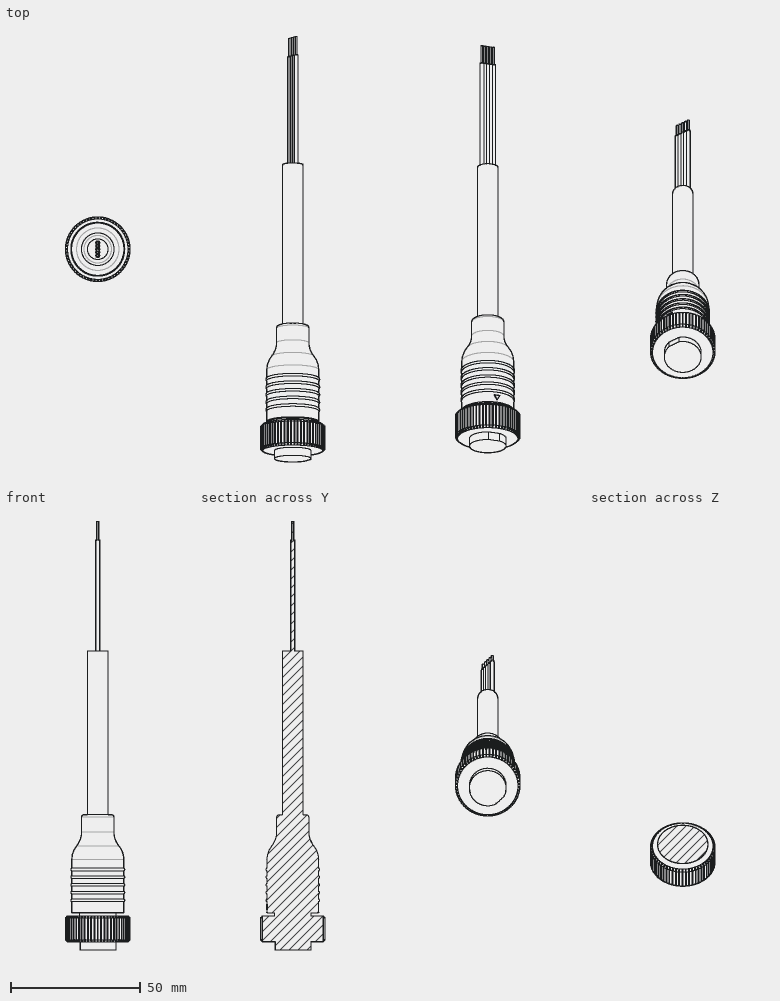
import cadquery as cq
import math

total_height = 165.8

nose_radius = 7.1
nose_flat_width = 4.5

ring_diameter = 25.0
ring_radius = ring_diameter / 2
ring_bottom = 3.2
ring_top = 13.3
ring_chamfer = 0.8
knurl_count = 60
knurl_width = 0.3
knurl_depth = 0.7

body_radius = 10.1
body_bottom = 14.3
body_chamfer = 0.3
shoulder_bottom = 35.0
shoulder_top = 45.6
collar_radius = 6.3
collar_top = 52.4
collar_fillet = 1.0

rib_count = 5
rib_pitch = 3.0
rib_width = 1.0
rib_height = 0.3
first_rib_bottom = 18.7

mark_width = 2.3
mark_height = 2.0
mark_top = 17.5
mark_depth = 0.3

cable_radius = 4.0
cable_top = 115.7
wire_count = 5
wire_pitch = 1.23
wire_diameter = 1.56
insulation_top = 158.5
core_diameter = 0.8


def cylinder(radius, bottom, top, y=0):
    """Vertical cylinder centred on X = 0 between two heights."""
    return cq.Workplane("XY", origin=(0, y, bottom)).circle(radius).extrude(top - bottom)


def make_nose():
    """Plug core up to the grip, with a flat on the -X side below the ring."""
    nose = cylinder(nose_radius, 0, body_bottom)
    flat_distance = math.sqrt(nose_radius**2 - (nose_flat_width / 2) ** 2)
    flat_cutter = cq.Workplane("XY").box(
        nose_radius, 2 * nose_radius, ring_bottom, centered=(False, True, False)
    )
    return nose.cut(flat_cutter.translate((-flat_distance - nose_radius, 0, 0)))


def make_ring():
    """Chamfered ring with narrow grooves running along its whole height."""
    ring_height = ring_top - ring_bottom
    ring = cylinder(ring_radius, ring_bottom, ring_top)
    ring = ring.faces("<Z or >Z").chamfer(ring_chamfer)
    knurls = (
        cq.Workplane("XY", origin=(0, 0, ring_bottom))
        .polarArray(ring_radius, 0, 360, knurl_count)
        .rect(2 * knurl_depth, knurl_width)
        .extrude(ring_height)
    )
    return ring.cut(knurls)


def make_grip():
    """Revolved grip whose shoulder is two equal arcs meeting halfway."""
    rise = (shoulder_top - shoulder_bottom) / 2
    step = (body_radius - collar_radius) / 2
    middle = (collar_radius + step, shoulder_bottom + rise)
    grip = (
        cq.Workplane("XZ")
        .moveTo(0, body_bottom)
        .lineTo(body_radius - body_chamfer, body_bottom)
        .lineTo(body_radius, body_bottom + body_chamfer)
        .lineTo(body_radius, shoulder_bottom)
        .tangentArcPoint(middle, relative=False)
        .tangentArcPoint((collar_radius, shoulder_top), relative=False)
        .lineTo(collar_radius, collar_top)
        .lineTo(0, collar_top)
        .close()
        .revolve(360, (0, 0, 0), (0, 1, 0))
    )
    return grip.faces(">Z").edges().fillet(collar_fillet)


def make_grip_ribs():
    """Evenly spaced bead rings around the body, each with a rounded outline."""
    rib = (
        cq.Workplane("XZ")
        .moveTo(body_radius - rib_height, first_rib_bottom)
        .lineTo(body_radius, first_rib_bottom)
        .threePointArc(
            (body_radius + rib_height, first_rib_bottom + rib_width / 2),
            (body_radius, first_rib_bottom + rib_width),
        )
        .lineTo(body_radius - rib_height, first_rib_bottom + rib_width)
        .close()
        .revolve(360, (0, 0, 0), (0, 1, 0))
    )
    ribs = rib
    for index in range(1, rib_count):
        ribs = ribs.union(rib.translate((0, 0, index * rib_pitch)))
    return ribs


def make_mark():
    """Triangular cutter entering the body from the -X side."""
    return (
        cq.Workplane("YZ", origin=(-body_radius + mark_depth, 0, 0))
        .moveTo(-mark_width / 2, mark_top)
        .lineTo(mark_width / 2, mark_top)
        .lineTo(0, mark_top - mark_height)
        .close()
        .extrude(-2 * mark_depth)
    )


def make_cable():
    """Round jacket ending in a row of stripped wires along Y."""
    cable = cylinder(cable_radius, body_bottom, cable_top)
    for index in range(wire_count):
        y = (index - (wire_count - 1) / 2) * wire_pitch
        cable = cable.union(cylinder(wire_diameter / 2, cable_top, insulation_top, y))
        cable = cable.union(cylinder(core_diameter / 2, insulation_top, total_height, y))
    return cable


grip = make_grip().union(make_grip_ribs()).cut(make_mark())
result = make_nose().union(make_ring()).union(grip).union(make_cable())